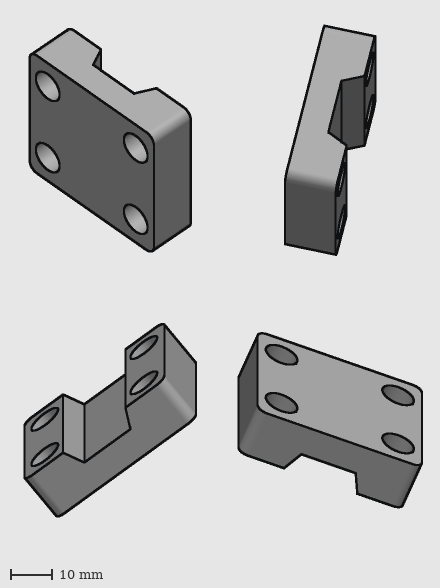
import cadquery as cq

width = 42.7
thickness = 12.55
height = 39.2
corner_radius = 2.55

hole_diameter = 8.15
hole_spacing_x = 30.25
hole_spacing_z = 23.75

channel_mouth_width = 19.0
channel_floor_width = 14.05
channel_depth = 5.13


def make_plate():
    """Rectangular plate with its four corners rounded about Y."""
    return cq.Workplane("XY").box(width, thickness, height).edges("|Y").fillet(corner_radius)


def make_holes():
    """Cylinders through the full thickness at the corners of a rectangle."""
    return (
        cq.Workplane("XZ")
        .rect(hole_spacing_x, hole_spacing_z, forConstruction=True)
        .vertices()
        .circle(hole_diameter / 2)
        .extrude(thickness, both=True)
    )


def make_channel():
    """Prism with sloping sides, widest at the back face."""
    back = thickness / 2
    floor = back - channel_depth
    return (
        cq.Workplane("XY")
        .polyline([
            (-channel_mouth_width / 2, back),
            (-channel_floor_width / 2, floor),
            (channel_floor_width / 2, floor),
            (channel_mouth_width / 2, back),
        ])
        .close()
        .extrude(height, both=True)
    )


result = make_plate().cut(make_holes()).cut(make_channel())